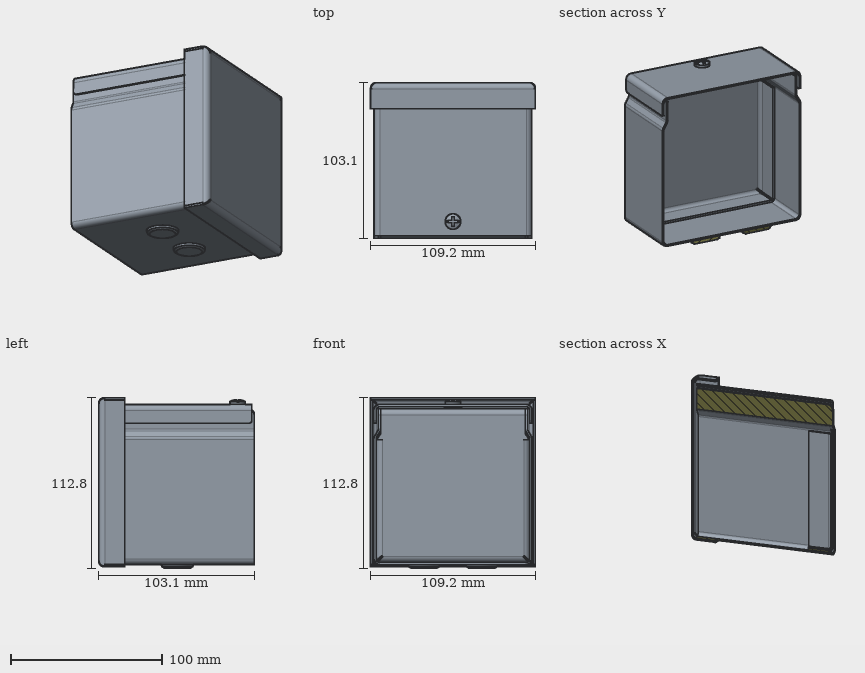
import cadquery as cq
import math


SHEET = 1.5
BEND_OUTER = 4.0
BEND_INNER = BEND_OUTER - SHEET

LID_WIDTH = 109.2
LID_HEIGHT = 111.9
LID_DEPTH = 17.5
LID_BOTTOM = -SHEET
LID_TOP = LID_BOTTOM + LID_HEIGHT
LID_SLIT = 0.06
LID_MITRE_GAP = 0.6

TOTAL_DEPTH = 103.1
TOTAL_HEIGHT = 112.8
LID_INNER_BACK = TOTAL_DEPTH - SHEET
LID_RIM = TOTAL_DEPTH - LID_DEPTH
LID_BEND_START = TOTAL_DEPTH - BEND_OUTER

COVER_TOP = LID_TOP - 4.4
COVER_UNDERSIDE = COVER_TOP - SHEET
COVER_FRONT = 1.6
COVER_FLAP_BOTTOM = 93.5
COVER_FLAP_CORNER = 2.0

WRAPPER_HALF_WIDTH = 52.3
WRAPPER_TOP = COVER_UNDERSIDE - SHEET
STEP_BOTTOM = 83.0
STEP_INWARDS = 2 * SHEET
STEP_ANGLE = math.radians(30)

PANEL_HALF_WIDTH = WRAPPER_HALF_WIDTH - SHEET
PANEL_UPPER_HALF_WIDTH = PANEL_HALF_WIDTH - STEP_INWARDS
PANEL_BOTTOM = SHEET
PANEL_TOP = WRAPPER_TOP
PANEL_FLANGE_TOP = 82.7
PANEL_TAPER_HALF_WIDTH = 50.5
PANEL_TAPER_TOP = 86.5
PANEL_FLANGE_DEPTH = 18.0
PANEL_MITRE_GAP = 0.9

SCREW_Y = 11.0
HEAD_DIAMETER = 10.3
HEAD_RIM_HEIGHT = 1.8
HEAD_HEIGHT = 3.2
SHANK_DIAMETER = 5.0
COLLAR_DIAMETER = 11.5
COLLAR_NOTCHES = 32
COLLAR_NOTCH_WIDTH = 0.5
COLLAR_NOTCH_DEPTH = 0.5
SLOT_WIDTH = 1.0
SLOT_DEPTH = 1.6
CROSS_WIDTH = 1.5
CROSS_LENGTH = 6.3
CROSS_DEPTH = 2.3

PLUG_X = 19.2
PLUG_Y = 51.0
PLUG_TOP_DIAMETER = 21.4
PLUG_EDGE_DIAMETER = 20.3
PLUG_BOTTOM_DIAMETER = 17.1
PLUG_HEIGHT = TOTAL_HEIGHT - LID_HEIGHT + SHEET
PLUG_EDGE_HEIGHT = 1.5


def block(half_width, y_min, y_max, z_min, z_max):
    """Box centred on X = 0."""
    start = cq.Workplane("XY", origin=(0, y_min, z_min))
    return start.box(2 * half_width, y_max - y_min, z_max - z_min, centered=(True, False, False))


def mitre_slit(x, z, slope, gap, y_min, y_max):
    """Diagonal slit that parts two bends meeting at the corner (x, z).

    `slope` is 1 if the diagonal from the corner falls towards +X, -1 if it rises.
    """
    length = 2 * math.sqrt(2) * BEND_OUTER
    return (
        cq.Workplane("XZ", origin=(x, y_min, z))
        .transformed(rotate=(0, 0, -slope * 45))
        .rect(length, gap)
        .extrude(y_min - y_max)
    )


def make_lid():
    """Shallow tray open to the front, with rounded back edges and slit corners."""
    half_width = LID_WIDTH / 2
    outer = block(half_width, LID_RIM, TOTAL_DEPTH, LID_BOTTOM, LID_TOP)
    outer = outer.faces(">Y").edges().fillet(BEND_OUTER)
    inner = block(half_width - SHEET, LID_RIM, LID_INNER_BACK, LID_BOTTOM + SHEET, LID_TOP - SHEET)
    inner = inner.faces(">Y").edges().fillet(BEND_INNER)
    lid = outer.cut(inner)
    top_slit = LID_TOP - SHEET
    bottom_slit = LID_BOTTOM + SHEET
    lid = lid.cut(block(half_width, LID_RIM, LID_BEND_START, top_slit - LID_SLIT, top_slit))
    lid = lid.cut(block(half_width, LID_RIM, LID_BEND_START, bottom_slit, bottom_slit + LID_SLIT))
    for side in (-1, 1):
        x = side * half_width
        lid = lid.cut(mitre_slit(x, LID_TOP, -side, LID_MITRE_GAP, LID_BEND_START, TOTAL_DEPTH))
        lid = lid.cut(mitre_slit(x, LID_BOTTOM, side, LID_MITRE_GAP, LID_BEND_START, TOTAL_DEPTH))
    return lid


def arc_point(centre, radius, angle):
    """Point at `angle` (radians) on a circle."""
    return (centre[0] + radius * math.cos(angle), centre[1] + radius * math.sin(angle))


def wrapper_block(inset):
    """Solid filling the wrapper outline moved inwards by `inset`; the top stays in place."""
    half_width = WRAPPER_HALF_WIDTH - inset
    corner = BEND_OUTER - inset
    lower_radius = BEND_OUTER - inset
    upper_radius = BEND_INNER + inset
    bends = BEND_OUTER + BEND_INNER
    slope_height = (STEP_INWARDS - bends * (1 - math.cos(STEP_ANGLE))) / math.tan(STEP_ANGLE)
    step_top = STEP_BOTTOM + bends * math.sin(STEP_ANGLE) + slope_height
    corner_centre = (half_width - corner, inset + corner)
    lower_centre = (half_width - lower_radius, STEP_BOTTOM)
    upper_centre = (half_width - STEP_INWARDS + upper_radius, step_top)
    half = (
        cq.Workplane("XZ")
        .moveTo(0, inset)
        .lineTo(corner_centre[0], inset)
        .threePointArc(arc_point(corner_centre, corner, -math.pi / 4), (half_width, corner_centre[1]))
        .lineTo(half_width, STEP_BOTTOM)
        .threePointArc(
            arc_point(lower_centre, lower_radius, STEP_ANGLE / 2),
            arc_point(lower_centre, lower_radius, STEP_ANGLE),
        )
        .lineTo(*arc_point(upper_centre, upper_radius, math.pi + STEP_ANGLE))
        .threePointArc(
            arc_point(upper_centre, upper_radius, math.pi + STEP_ANGLE / 2),
            arc_point(upper_centre, upper_radius, math.pi),
        )
        .lineTo(half_width - STEP_INWARDS, WRAPPER_TOP)
        .lineTo(0, WRAPPER_TOP)
        .close()
        .extrude(-LID_BEND_START)
    )
    return half.union(half.mirror("YZ"))


def make_wrapper():
    """U-shaped sheet with rounded bottom corners, stepped walls and rounded top front corners."""
    outer = wrapper_block(0).faces(">Z").edges("<Y").fillet(BEND_OUTER)
    return outer.cut(wrapper_block(SHEET))


def make_panel():
    """Front plate with flanges bent back at the bottom, the lower sides and the top."""
    lower = block(PANEL_HALF_WIDTH, 0, PANEL_FLANGE_DEPTH, PANEL_BOTTOM, PANEL_FLANGE_TOP)
    lower = lower.faces("<Y").edges("not >Z").fillet(BEND_OUTER)
    lower_inside = block(
        PANEL_HALF_WIDTH - SHEET, SHEET, PANEL_FLANGE_DEPTH, PANEL_BOTTOM + SHEET, PANEL_FLANGE_TOP
    )
    lower = lower.cut(lower_inside.faces("<Y").edges("not >Z").fillet(BEND_INNER))
    lower = lower.intersect(wrapper_block(SHEET))
    for side in (-1, 1):
        lower = lower.cut(
            mitre_slit(side * PANEL_HALF_WIDTH, PANEL_BOTTOM, side, PANEL_MITRE_GAP, 0, PANEL_FLANGE_DEPTH)
        )

    upper = block(PANEL_UPPER_HALF_WIDTH, 0, PANEL_FLANGE_DEPTH, PANEL_FLANGE_TOP, PANEL_TOP)
    upper = upper.faces("<Y").edges(">Z").fillet(BEND_OUTER)
    upper_inside = block(
        PANEL_UPPER_HALF_WIDTH, SHEET, PANEL_FLANGE_DEPTH, PANEL_FLANGE_TOP, PANEL_TOP - SHEET
    )
    upper = upper.cut(upper_inside.faces("<Y").edges(">Z").fillet(BEND_INNER))

    taper = (
        cq.Workplane("XZ")
        .polyline([
            (-PANEL_TAPER_HALF_WIDTH, PANEL_FLANGE_TOP),
            (PANEL_TAPER_HALF_WIDTH, PANEL_FLANGE_TOP),
            (PANEL_UPPER_HALF_WIDTH, PANEL_TAPER_TOP),
            (-PANEL_UPPER_HALF_WIDTH, PANEL_TAPER_TOP),
        ])
        .close()
        .extrude(-SHEET)
    )
    return lower.union(upper).union(taper).cut(screw_shank())


def make_cover():
    """Flat top sheet with a short flap bent down on each side."""
    outer = block(WRAPPER_HALF_WIDTH, COVER_FRONT, LID_BEND_START, COVER_FLAP_BOTTOM, COVER_TOP)
    outer = outer.faces(">Z").edges("|Y").fillet(BEND_OUTER)
    inner = block(WRAPPER_HALF_WIDTH - SHEET, COVER_FRONT, LID_BEND_START, COVER_FLAP_BOTTOM, COVER_UNDERSIDE)
    inner = inner.faces(">Z").edges("|Y").fillet(BEND_INNER)
    cover = outer.cut(inner)
    cover = cover.faces("<Y").edges("<Z").fillet(COVER_FLAP_CORNER)
    return cover.cut(screw_shank())


def screw_shank():
    """Shank of the screw, also used to cut its hole, through the cover and the top flange of the panel."""
    bottom = PANEL_TOP - SHEET
    start = cq.Workplane("XY", origin=(0, SCREW_Y, bottom))
    return start.circle(SHANK_DIAMETER / 2).extrude(COVER_TOP - bottom)


def make_screw():
    """Domed screw, slotted and cross-recessed, with a collar between the cover and the panel."""
    head_radius = HEAD_DIAMETER / 2
    dome_height = HEAD_HEIGHT - HEAD_RIM_HEIGHT
    dome_radius = (head_radius**2 + dome_height**2) / (2 * dome_height)
    dome_top = COVER_TOP + HEAD_HEIGHT
    half_angle = math.asin(head_radius / dome_radius) / 2
    dome_middle = arc_point((0, dome_top - dome_radius), dome_radius, math.pi / 2 - half_angle)
    head = (
        cq.Workplane("XZ")
        .moveTo(0, COVER_TOP)
        .lineTo(head_radius, COVER_TOP)
        .lineTo(head_radius, COVER_TOP + HEAD_RIM_HEIGHT)
        .threePointArc(dome_middle, (0, dome_top))
        .close()
        .revolve(360, (0, 0, 0), (0, 1, 0))
        .translate((0, SCREW_Y, 0))
    )
    collar = (
        cq.Workplane("XY", origin=(0, SCREW_Y, PANEL_TOP))
        .circle(COLLAR_DIAMETER / 2)
        .extrude(COVER_UNDERSIDE - PANEL_TOP)
    )
    notches = (
        cq.Workplane("XY", origin=(0, SCREW_Y, PANEL_TOP))
        .polarArray(COLLAR_DIAMETER / 2, 0, 360, COLLAR_NOTCHES)
        .rect(2 * COLLAR_NOTCH_DEPTH, COLLAR_NOTCH_WIDTH)
        .extrude(COVER_UNDERSIDE - PANEL_TOP)
    )
    collar = collar.cut(notches)
    top = cq.Workplane("XY", origin=(0, SCREW_Y, dome_top))
    slot = top.rect(HEAD_DIAMETER, SLOT_WIDTH).extrude(-SLOT_DEPTH)
    recess = top.rect(CROSS_LENGTH, CROSS_WIDTH).extrude(-CROSS_DEPTH)
    recess = recess.union(top.rect(CROSS_WIDTH, CROSS_LENGTH).extrude(-CROSS_DEPTH))
    return head.union(screw_shank()).union(collar).cut(slot).cut(recess)


def make_plug(x):
    """Round plug under the wrapper, tapering in two stages."""
    return (
        cq.Workplane("XZ")
        .polyline([
            (0, 0),
            (PLUG_TOP_DIAMETER / 2, 0),
            (PLUG_EDGE_DIAMETER / 2, -PLUG_EDGE_HEIGHT),
            (PLUG_BOTTOM_DIAMETER / 2, -PLUG_HEIGHT),
            (0, -PLUG_HEIGHT),
        ])
        .close()
        .revolve(360, (0, 0, 0), (0, 1, 0))
        .translate((x, PLUG_Y, 0))
    )


lid = make_lid()
wrapper = make_wrapper()
panel = make_panel()
cover = make_cover()
screw = make_screw()
plugs = [make_plug(side * PLUG_X) for side in (-1, 1)]

result = cq.Compound.makeCompound(
    [lid.val(), wrapper.val(), panel.val(), cover.val(), screw.val(), *(plug.val() for plug in plugs)]
)